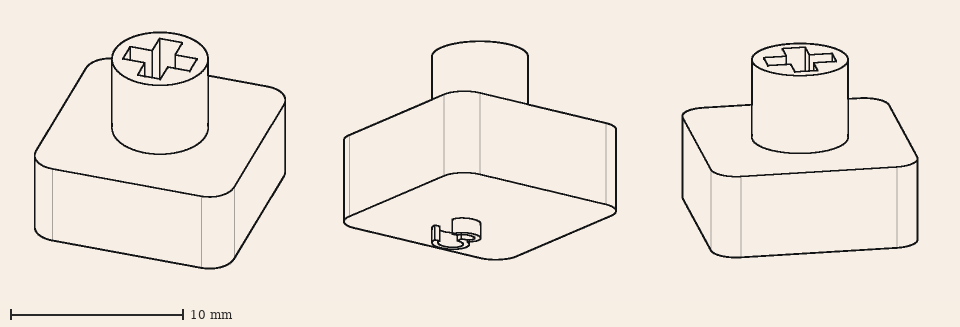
import cadquery as cq

BODY_X = 12.14
BODY_Y = 12.2
BODY_HEIGHT = 5.0
CORNER_RADIUS = 1.5

STEM_DIAMETER = 5.6
STEM_HEIGHT = 4.8
SOCKET_X_ARM = (4.1, 1.35)
SOCKET_Y_ARM = (1.4, 4.05)
SOCKET_DEPTH = STEM_HEIGHT

MARK_HEIGHT = 0.9
RIB_WIDTH = 0.35
UPPER_RIB_CENTER_Y = -1.41
UPPER_RIB_RADII = (0.95, 0.74)
LOWER_RIB_CENTER_Y = -2.86
LOWER_RIB_RADII = (1.135, 0.98)


def make_body():
    block = cq.Workplane("XY").box(BODY_X, BODY_Y, BODY_HEIGHT, centered=(True, True, False))
    return block.edges("|Z").fillet(CORNER_RADIUS)


def make_stem():
    return cq.Workplane("XY", origin=(0, 0, BODY_HEIGHT)).circle(STEM_DIAMETER / 2).extrude(STEM_HEIGHT)


def make_socket():
    floor = cq.Workplane("XY", origin=(0, 0, BODY_HEIGHT + STEM_HEIGHT - SOCKET_DEPTH))
    x_arm = floor.rect(*SOCKET_X_ARM).extrude(SOCKET_DEPTH)
    y_arm = floor.rect(*SOCKET_Y_ARM).extrude(SOCKET_DEPTH)
    return x_arm.union(y_arm)


def make_rib(center_y, radii, open_side):
    """Elliptical ring without its +X quarter on the open side (+1 for +Y, -1 for -Y)."""
    radius_x, radius_y = radii
    base = cq.Workplane("XY", origin=(0, center_y, -MARK_HEIGHT))
    outer = base.ellipse(radius_x, radius_y).extrude(MARK_HEIGHT)
    inner = base.ellipse(radius_x - RIB_WIDTH, radius_y - RIB_WIDTH).extrude(MARK_HEIGHT)
    quarter = base.center(radius_x / 2, open_side * radius_y / 2).rect(radius_x, radius_y).extrude(MARK_HEIGHT)
    return outer.cut(inner).cut(quarter)


upper_rib = make_rib(UPPER_RIB_CENTER_Y, UPPER_RIB_RADII, open_side=-1)
lower_rib = make_rib(LOWER_RIB_CENTER_Y, LOWER_RIB_RADII, open_side=1)

result = make_body().union(make_stem()).cut(make_socket()).union(upper_rib).union(lower_rib)